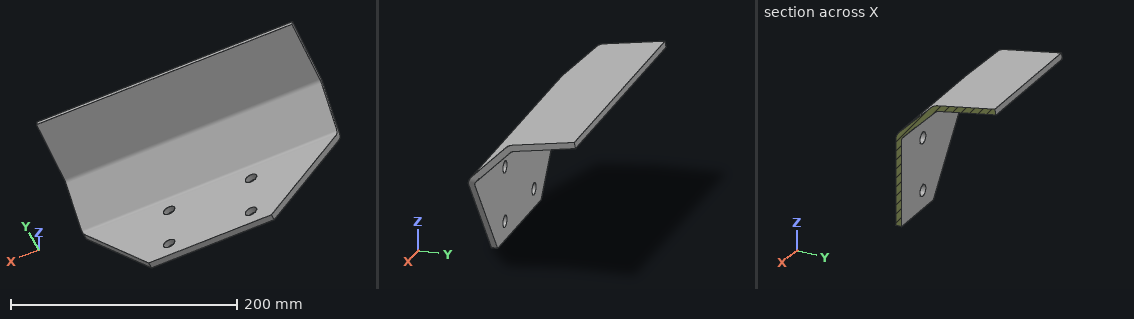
import cadquery as cq
import math

width = 250.0
thickness = 6.0
inner_radius = 6.0
outer_radius = inner_radius + thickness

plate_height = 84.8
middle_length = 45.2
top_length = 58.5
plate_angle = 90.0
middle_angle = 45.0
top_angle = 10.0

bottom_width = 120.0
taper_top = 87.5
taper_blend_radius = 11.2

hole_diameter = 11.0
hole_spacing_x = 80.0
hole_spacing_z = 52.0
lower_hole_height = 18.2


def advance(point, distance, angle):
    """Move a (Y, Z) point along a direction given in degrees above horizontal."""
    a = math.radians(angle)
    return (point[0] + distance * math.cos(a), point[1] + distance * math.sin(a))


def bend_points(center, radius, start_angle, end_angle):
    """Middle and end of a bend arc, between the two sheet inclinations."""
    middle = advance(center, radius, (start_angle + end_angle) / 2 + 90)
    end = advance(center, radius, end_angle + 90)
    return middle, end


def bent_sheet():
    """Constant-thickness profile swept across the full width."""
    plate_top = (0, plate_height)
    lower_center = advance(plate_top, outer_radius, plate_angle - 90)
    lower_mid, lower_end = bend_points(lower_center, outer_radius, plate_angle, middle_angle)
    middle_end = advance(lower_end, middle_length, middle_angle)
    upper_center = advance(middle_end, outer_radius, middle_angle - 90)
    upper_mid, upper_end = bend_points(upper_center, outer_radius, middle_angle, top_angle)
    top_end = advance(upper_end, top_length, top_angle)

    top_end_inner = advance(top_end, thickness, top_angle - 90)
    upper_start_inner = advance(upper_center, inner_radius, top_angle + 90)
    upper_mid_inner, upper_end_inner = bend_points(upper_center, inner_radius, top_angle, middle_angle)
    lower_start_inner = advance(lower_center, inner_radius, middle_angle + 90)
    lower_mid_inner, lower_end_inner = bend_points(lower_center, inner_radius, middle_angle, plate_angle)

    profile = (
        cq.Workplane("YZ")
        .moveTo(0, 0)
        .lineTo(*plate_top)
        .threePointArc(lower_mid, lower_end)
        .lineTo(*middle_end)
        .threePointArc(upper_mid, upper_end)
        .lineTo(*top_end)
        .lineTo(*top_end_inner)
        .lineTo(*upper_start_inner)
        .threePointArc(upper_mid_inner, upper_end_inner)
        .lineTo(*lower_start_inner)
        .threePointArc(lower_mid_inner, lower_end_inner)
        .lineTo(thickness, 0)
        .close()
    )
    return profile.extrude(width / 2, both=True)


def tapered_outline():
    """Prism with the front outline: tapered plate sides blended into straight sheet sides."""
    outline_height = plate_height + 2 * outer_radius + middle_length + top_length
    prism_depth = 2 * (middle_length + top_length + 2 * outer_radius)
    prism = (
        cq.Workplane("XZ")
        .moveTo(-bottom_width / 2, 0)
        .lineTo(bottom_width / 2, 0)
        .lineTo(width / 2, taper_top)
        .lineTo(width / 2, outline_height)
        .lineTo(-width / 2, outline_height)
        .lineTo(-width / 2, taper_top)
        .close()
        .extrude(prism_depth / 2, both=True)
    )
    side_corners = cq.selectors.BoxSelector(
        (-width, -prism_depth, taper_top - thickness),
        (width, prism_depth, taper_top + thickness),
    )
    return prism.edges("|Y").edges(side_corners).fillet(taper_blend_radius)


def mounting_holes():
    """Four cylinders through the plate."""
    return (
        cq.Workplane("XZ")
        .center(0, lower_hole_height + hole_spacing_z / 2)
        .rect(hole_spacing_x, hole_spacing_z, forConstruction=True)
        .vertices()
        .circle(hole_diameter / 2)
        .extrude(outer_radius, both=True)
    )


result = bent_sheet().intersect(tapered_outline()).cut(mounting_holes())